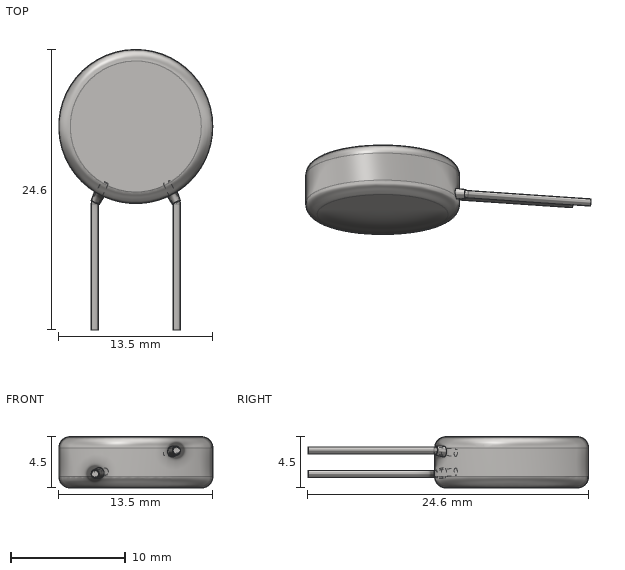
import cadquery as cq
import math

HOUSING_DIAMETER = 13.5
HOUSING_THICKNESS = 4.5
HOUSING_EDGE_RADIUS = 1.0

OVERALL_LENGTH = 24.6
WIRE_DIAMETER = 0.65
LEAD_X = 3.6
LEAD_Z = 1.03
STRAIGHT_START_Y = -6.82
BEND_RADIUS = 0.37
SPLAY_ANGLE = 26.0
PITCH_ANGLE = 6.0
EMBEDDED_LENGTH = 1.97

COLLAR_TIP_DIAMETER = 0.79
COLLAR_BASE_DIAMETER = 1.08
COLLAR_LENGTH = 1.48

LEAD_SIDES = (-1, 1)
LEAD_END_Y = HOUSING_DIAMETER / 2 - OVERALL_LENGTH


def unit_root_direction(side):
    """Outward direction of a lead root; side is +1 or -1."""
    splay = math.radians(SPLAY_ANGLE)
    pitch = math.radians(PITCH_ANGLE)
    return cq.Vector(
        side * math.cos(pitch) * math.sin(splay),
        -math.cos(pitch) * math.cos(splay),
        side * math.sin(pitch),
    )


def bend_points(side):
    """Start and end of the arc that joins the root to the straight run."""
    end = cq.Vector(side * LEAD_X, STRAIGHT_START_Y, side * LEAD_Z)
    root = unit_root_direction(side)
    straight = cq.Vector(0, -1, 0)
    tangent_length = BEND_RADIUS * math.tan(root.getAngle(straight) / 2)
    corner = end - straight * tangent_length
    return corner - root * tangent_length, end


def make_lead(side):
    """Bent round wire: embedded root, bend and straight run."""
    root = unit_root_direction(side)
    bend_start, bend_end = bend_points(side)
    inner_end = bend_start - root * EMBEDDED_LENGTH
    outer_end = cq.Vector(bend_end.x, LEAD_END_Y, bend_end.z)
    path = cq.Wire.assembleEdges([
        cq.Edge.makeLine(inner_end, bend_start),
        cq.Edge.makeTangentArc(bend_start, root, bend_end),
        cq.Edge.makeLine(bend_end, outer_end),
    ])
    profile = cq.Workplane(cq.Plane(inner_end, normal=root)).circle(WIRE_DIAMETER / 2)
    return profile.sweep(cq.Workplane(path))


def make_collar(side):
    """Cone around the lead root, ending where the bend starts."""
    root = unit_root_direction(side)
    bend_start = bend_points(side)[0]
    base = bend_start - root * COLLAR_LENGTH
    return cq.Workplane(cq.Solid.makeCone(
        COLLAR_BASE_DIAMETER / 2, COLLAR_TIP_DIAMETER / 2, COLLAR_LENGTH, base, root
    ))


def make_housing(leads):
    """Rounded disc with a collar at each lead and a matching lead hole."""
    disc = (
        cq.Workplane("XY", origin=(0, 0, -HOUSING_THICKNESS / 2))
        .circle(HOUSING_DIAMETER / 2)
        .extrude(HOUSING_THICKNESS)
    )
    housing = disc.faces("<Z or >Z").edges().fillet(HOUSING_EDGE_RADIUS)
    for side in LEAD_SIDES:
        housing = housing.union(make_collar(side))
    for lead in leads:
        housing = housing.cut(lead)
    return housing


leads = [make_lead(side) for side in LEAD_SIDES]
housing = make_housing(leads)

result = cq.Compound.makeCompound([housing.solids().val(), *[lead.val() for lead in leads]])